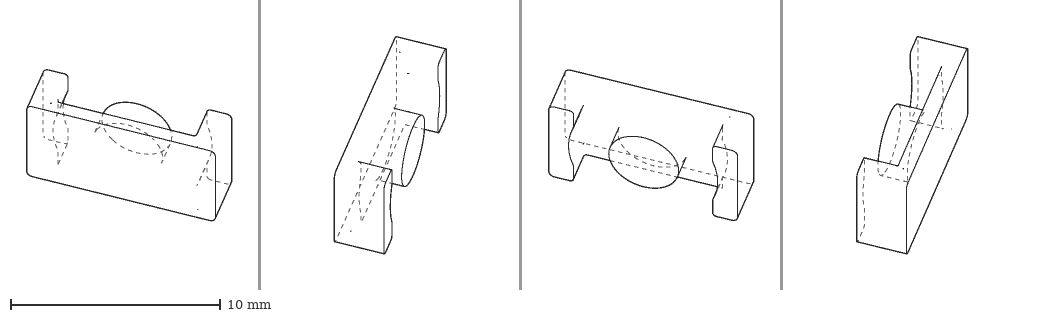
import cadquery as cq

length = 9.5
depth = 2.5
height = 5.0
corner_radius = 0.3

leg_gap = 6.99
floor_thickness = 0.88
recess_diameter = 7.505
root_radius = 0.15

leg_edge_radius = 0.21
floor_edge_radius = 0.4

post_diameter = 3.515
post_gap = 0.095

margin = 0.01

half_gap = leg_gap / 2
half_height = height / 2
cavity_depth = depth - floor_thickness
front = -depth / 2
floor = front + floor_thickness
post_height = cavity_depth - post_gap


def disc(diameter, tall):
    """Cylinder standing on the floor and pointing along +Y."""
    return cq.Workplane("XZ", origin=(0, floor, 0)).circle(diameter / 2).extrude(-tall)


def gap_between_legs():
    """Winding space along Y, with its side walls flaring out in quarter rounds at both Z ends."""
    wide = half_gap + leg_edge_radius
    straight = half_height - leg_edge_radius
    return (
        cq.Workplane("XZ", origin=(0, front, 0))
        .moveTo(-wide, half_height)
        .lineTo(wide, half_height)
        .radiusArc((half_gap, straight), -leg_edge_radius)
        .lineTo(half_gap, -straight)
        .radiusArc((wide, -half_height), -leg_edge_radius)
        .lineTo(-wide, -half_height)
        .radiusArc((-half_gap, -straight), -leg_edge_radius)
        .lineTo(-half_gap, straight)
        .radiusArc((-wide, half_height), -leg_edge_radius)
        .close()
        .extrude(-depth)
    )


def space_above_floor():
    """Space behind the floor, with the floor falling away in quarter rounds at both Z ends."""
    low = floor - floor_edge_radius
    straight = half_height - floor_edge_radius
    return (
        cq.Workplane("YZ")
        .moveTo(depth / 2, half_height)
        .lineTo(low, half_height)
        .radiusArc((floor, straight), floor_edge_radius)
        .lineTo(floor, -straight)
        .radiusArc((low, -half_height), floor_edge_radius)
        .lineTo(depth / 2, -half_height)
        .close()
        .extrude(length / 2, both=True)
    )


block = cq.Workplane("XY").box(length, depth, height).edges("|Y").fillet(corner_radius)

cavity = gap_between_legs().intersect(space_above_floor()).union(disc(recess_diameter, cavity_depth))
body = block.cut(cavity).union(disc(post_diameter, post_height))


def root_zone(x_min, x_max):
    """Selector for edges at or just below floor level, between two X positions."""
    return cq.selectors.BoxSelector(
        (x_min, floor - floor_edge_radius, -half_height),
        (x_max, floor + margin, half_height),
    )


inner_side = half_gap - margin
outer_side = recess_diameter / 2
for zone in (
    root_zone(inner_side, outer_side),
    root_zone(-outer_side, -inner_side),
    root_zone(-margin, margin),
):
    body = body.edges(zone).edges("not |X").fillet(root_radius)

result = body